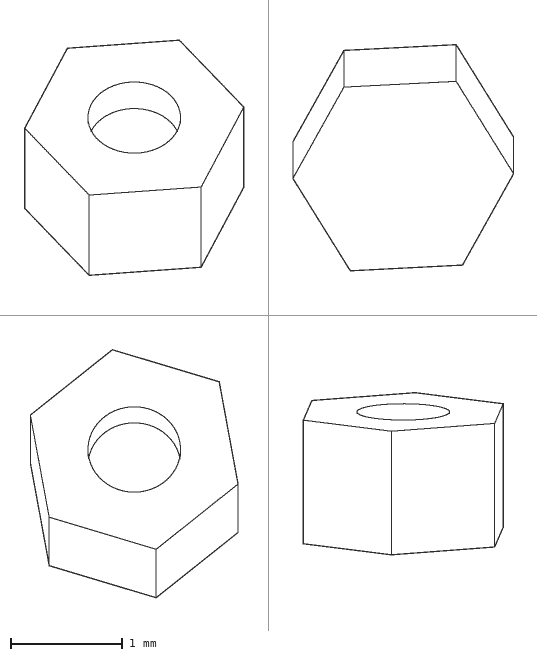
import cadquery as cq

across_corners = 2.02
across_flats = 1.73
height = 1.13
flat_length = 0.974

recess_diameter = 0.832
recess_depth = 0.374

half_corners = across_corners / 2
half_flats = across_flats / 2
half_flat_length = flat_length / 2

hexagon_corners = [
    (half_corners, 0),
    (half_flat_length, half_flats),
    (-half_flat_length, half_flats),
    (-half_corners, 0),
    (-half_flat_length, -half_flats),
    (half_flat_length, -half_flats),
]

block = cq.Workplane("XY").polyline(hexagon_corners).close().extrude(height)

recess = (
    cq.Workplane("XY")
    .workplane(offset=height - recess_depth)
    .circle(recess_diameter / 2)
    .extrude(recess_depth)
)

result = block.cut(recess)